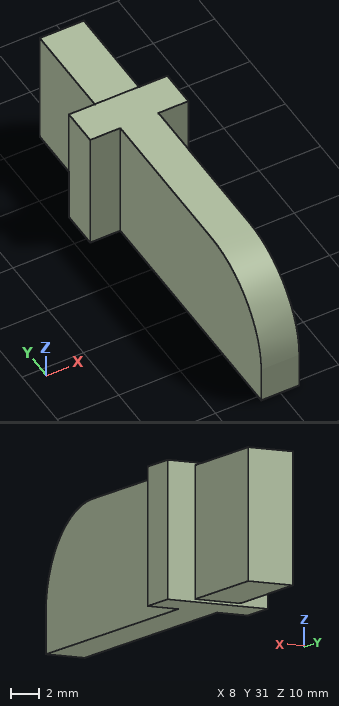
import cadquery as cq

total_length = 31.0
height = 10.0

collar_width = 8.0
collar_length = 3.0

tang_length = 8.0
tang_width = 3.6
tang_height = 9.6

blade_width = 3.1
blade_length = total_length - tang_length - collar_length
tip_radius = 7.0


def centered_block(width, start_y, length, block_height):
    """Block centred on X and Z that runs from start_y towards +Y."""
    return cq.Workplane("XY").box(width, length, block_height).translate((0, start_y + length / 2, 0))


blade = centered_block(blade_width, -blade_length, blade_length, height)
blade = blade.faces("<Y").edges(">Z").fillet(tip_radius)

collar = centered_block(collar_width, 0, collar_length, height)
tang = centered_block(tang_width, collar_length, tang_length, tang_height)

result = blade.union(collar).union(tang)